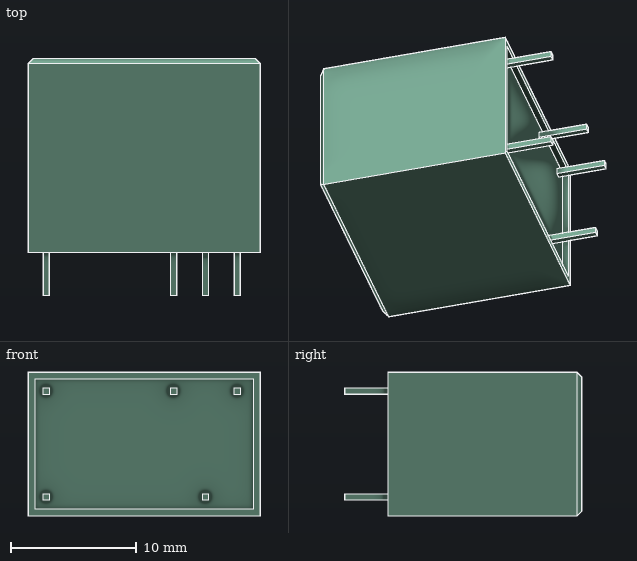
import cadquery as cq

housing_length = 18.53
housing_height = 11.5
overall_depth = 18.95
pin_protrusion = 3.45
housing_depth = overall_depth - pin_protrusion
back_chamfer = 0.4

rim_width = 0.55
recess_depth = 0.5

pin_size = 0.5
pin_pitch = 2.54
first_pin_inset = 1.45
first_pin_x = -housing_length / 2 + first_pin_inset
row_spacing = 8.45
upper_row_z = row_spacing / 2
lower_row_z = -row_spacing / 2
upper_row_steps = (0, 4, 6)
lower_row_steps = (0, 5)



def make_housing():
    """Box with a chamfered back face and a recessed pin face."""
    box = cq.Workplane("XY").box(
        housing_length, housing_depth, housing_height, centered=(True, False, True)
    )
    box = box.faces(">Y").chamfer(back_chamfer)
    recess = cq.Workplane("XY").box(
        housing_length - 2 * rim_width,
        recess_depth,
        housing_height - 2 * rim_width,
        centered=(True, False, True),
    )
    return box.cut(recess)


def make_pin(grid_step, row_z):
    """Square pin from the recess floor to its free end."""
    pin_length = pin_protrusion + recess_depth
    pin_x = first_pin_x + grid_step * pin_pitch
    pin = cq.Workplane("XY").box(pin_size, pin_length, pin_size, centered=(True, False, True))
    return pin.translate((pin_x, -pin_protrusion, row_z))


result = make_housing()
for row_z, grid_steps in ((upper_row_z, upper_row_steps), (lower_row_z, lower_row_steps)):
    for grid_step in grid_steps:
        result = result.union(make_pin(grid_step, row_z))